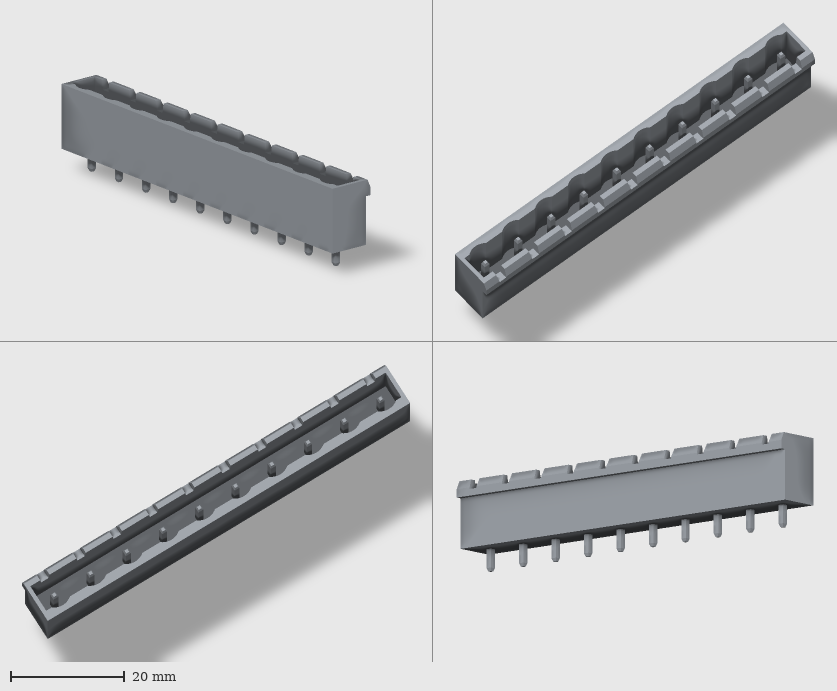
import cadquery as cq
import math

pin_count = 10
pitch = 7.5
length = pin_count * pitch
height = 12.0
body_depth = 7.6

overall_depth = 8.6
lip_height = 3.0
lip_slope_height = 1.5
lip_slope_run = 0.7

end_wall = 0.75
front_wall = 1.7
cavity_back = 7.0
floor_thickness = 3.0

scallop_width = 3.8
scallop_depth = 0.7

notch_top_width = 1.95
notch_bottom_width = 1.5
notch_depth = 1.8

pin_width = 1.05
pin_y = 3.8
pin_recess = 1.7
pin_drop = 4.0
pin_top = height - pin_recess
tip_length = 0.6
tip_inset = 0.2
tip_angle = math.degrees(math.atan2(tip_inset, tip_length))

pin_positions = [(i - (pin_count - 1) / 2) * pitch for i in range(pin_count)]


def make_housing():
    """Box and lip as one side profile, extruded along the row."""
    profile = [
        (0, 0),
        (body_depth, 0),
        (body_depth, height - lip_height),
        (overall_depth, height - lip_height),
        (overall_depth, height - lip_slope_height),
        (overall_depth - lip_slope_run, height),
        (0, height),
    ]
    return cq.Workplane("YZ").polyline(profile).close().extrude(length / 2, both=True)


def make_cavity():
    """Space inside the walls, with one scallop per pin along its front edge."""
    half_length = length / 2 - end_wall
    outline = cq.Workplane("XY", origin=(0, 0, floor_thickness))
    outline = outline.moveTo(half_length, cavity_back)
    outline = outline.lineTo(-half_length, cavity_back)
    outline = outline.lineTo(-half_length, front_wall)
    for x in pin_positions:
        outline = outline.lineTo(x - scallop_width / 2, front_wall)
        outline = outline.threePointArc(
            (x, front_wall - scallop_depth),
            (x + scallop_width / 2, front_wall),
        )
    outline = outline.lineTo(half_length, front_wall)
    return outline.close().extrude(height - floor_thickness)


def make_notch(x):
    """Trapezoidal cutter, running from inside the cavity out past the lip."""
    notch_floor = height - notch_depth
    corners = [
        (x - notch_top_width / 2, height),
        (x - notch_bottom_width / 2, notch_floor),
        (x + notch_bottom_width / 2, notch_floor),
        (x + notch_top_width / 2, height),
    ]
    mid_cavity = (front_wall + cavity_back) / 2
    section = cq.Workplane("XZ", origin=(0, mid_cavity, 0)).polyline(corners).close()
    return section.extrude(mid_cavity - overall_depth)


def make_pin_tip(shank):
    """Tapered tip growing outward from the selected end face of the pin."""
    return shank.workplane().rect(pin_width, pin_width).extrude(tip_length, taper=tip_angle)


def make_pin(x):
    """Square pin standing in the cavity and passing down through the floor."""
    shank_length = pin_top + pin_drop - 2 * tip_length
    shank_base = cq.Workplane("XY", origin=(x, pin_y, tip_length - pin_drop))
    pin = shank_base.rect(pin_width, pin_width).extrude(shank_length)
    pin = make_pin_tip(pin.faces(">Z"))
    return make_pin_tip(pin.faces("<Z"))


result = make_housing().cut(make_cavity())
for pin_x in pin_positions:
    result = result.cut(make_notch(pin_x))
    result = result.union(make_pin(pin_x))